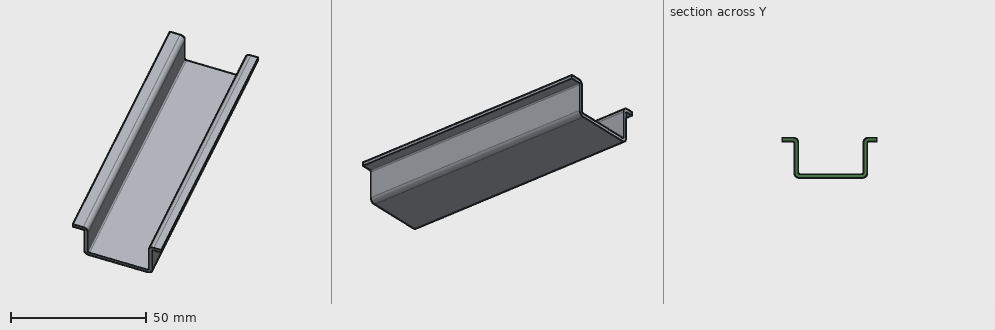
import cadquery as cq

rail_length = 100.0
rail_width = 35.0
rail_height = 15.0
channel_width = 27.0
channel_offset = 0.5
thickness = 1.5
inner_bend_radius = 0.5

outer_bend_radius = inner_bend_radius + thickness

half_width = rail_width / 2
wall_outer = channel_width / 2
wall_inner = wall_outer - thickness
top = rail_height / 2
bottom = -top
flange_underside = top - thickness
floor = bottom + thickness


def half_outline(side):
    """Square-cornered outline of one half (side is +1 or -1), from its bottom corner to its floor corner."""
    outer_x = channel_offset + side * wall_outer
    inner_x = channel_offset + side * wall_inner
    edge_x = side * half_width
    return [
        (outer_x, bottom),
        (outer_x, flange_underside),
        (edge_x, flange_underside),
        (edge_x, top),
        (inner_x, top),
        (inner_x, floor),
    ]


def sharp_rail():
    """Rail with square bends, extruded along Y about the origin."""
    outline = half_outline(1) + half_outline(-1)[::-1]
    return cq.Workplane("XZ").polyline(outline).close().extrude(rail_length / 2, both=True)


def round_bends(rail, wall_distance, z, radius):
    """Round the pair of lengthwise edges, one on each wall, at height z."""
    for side in (-1, 1):
        x = channel_offset + side * wall_distance
        edge = cq.selectors.NearestToPointSelector((x, 0, z))
        rail = rail.edges("|Y").edges(edge).fillet(radius)
    return rail


rail = sharp_rail()
rail = round_bends(rail, wall_outer, bottom, outer_bend_radius)
rail = round_bends(rail, wall_inner, floor, inner_bend_radius)
rail = round_bends(rail, wall_inner, top, outer_bend_radius)
rail = round_bends(rail, wall_outer, flange_underside, inner_bend_radius)

result = rail